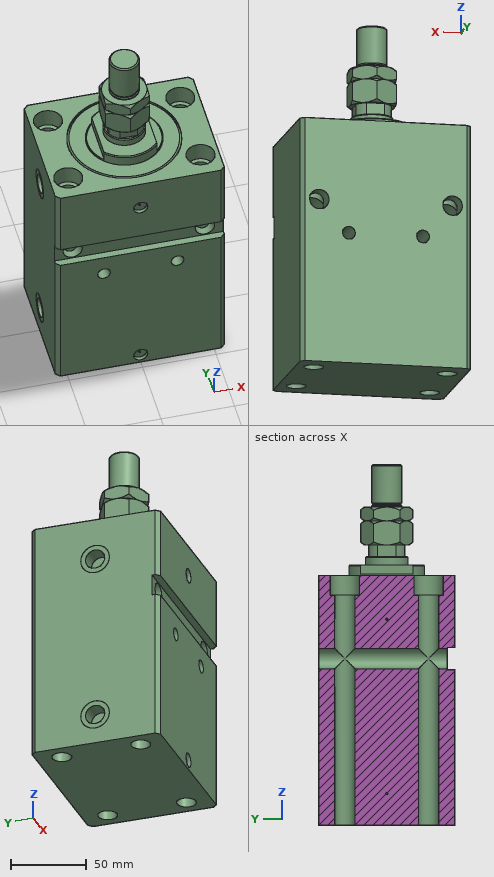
import cadquery as cq
import math


block_width = 115.0
block_depth = 90.0
block_height = 165.0
corner_chamfer = 2.9

slot_depth = 5.0
slot_height = 14.5
slot_drop = 55.0
slot_z = block_height - slot_drop

bolt_diameter = 13.0
bolt_x = 45.0
bolt_y = 27.5
head_diameter = 19.0
head_depth = 13.0
dowel_diameter = 8.5
dowel_x = 25.0
dowel_z = block_height - 76.9

front_port_diameter = 9.5
front_port_depth = 2.5
front_port_heights = (7.0, block_height - 21.7)
side_port_diameter = 13.3
side_port_depth = 12.0
side_port_heights = (21.0, block_height - 29.0)
spotface_diameter = 20.0
spotface_depth = 0.12
passage_diameter = 1.2
passage_depth = 1.2

gland_diameter = 76.0
gland_height = 15.0
gland_chamfer = 1.5
gland_mouth_chamfer = 0.7
gland_mouth_angle = 90
gland_floor_z = block_height - gland_height

rod_diameter = 50.0
rod_shoulder = 0.7
rod_head_height = 7.0
rod_flats = 36.0
rod_chamfer = 0.7
rod_top_z = block_height + rod_head_height

collar_diameter = 28.3
collar_height = 5.5
collar_chamfer = 0.7
neck_diameter = collar_diameter - 2 * collar_chamfer
neck_flats = 24.0
neck_height = 7.5
hex_flats = 30.0
hex_chamfer_angle = 40
lower_hex_height = 16.0
upper_hex_height = 9.0
pin_diameter = 20.0
pin_chamfer = 1.0
relief_diameter = 18.5
relief_rim_height = 0.7
relief_height = 2.1
total_height = 238.0


def front_holes(diameter, depth, places):
    """Cylinders going in along +Y from the front face at the (x, z) places."""
    plane = cq.Workplane("XZ", origin=(0, -block_depth / 2, 0))
    return plane.pushPoints(places).circle(diameter / 2).extrude(-depth)


def side_holes(diameter, depth, heights):
    """Cylinders going in along +X from the left face at the given heights."""
    plane = cq.Workplane("YZ", origin=(-block_width / 2, 0, 0))
    return plane.pushPoints([(0, z) for z in heights]).circle(diameter / 2).extrude(depth)


def make_housing():
    block = (
        cq.Workplane("XY")
        .box(block_width, block_depth, block_height, centered=(True, True, False))
        .edges("|Z")
        .chamfer(corner_chamfer)
    )

    slot_floor_y = -block_depth / 2 + slot_depth
    slot = cq.Workplane("XY").box(block_width, 2 * slot_depth, slot_height)
    block = block.cut(slot.translate((0, slot_floor_y - slot_depth, slot_z)))

    block = (
        block.faces(">Z")
        .workplane(origin=(0, 0, block_height))
        .rect(2 * bolt_x, 2 * bolt_y, forConstruction=True)
        .vertices()
        .cboreHole(bolt_diameter, head_diameter, head_depth)
    )

    cross_bolt_places = [(side * bolt_x, slot_z) for side in (-1, 1)]
    dowel_places = [(side * dowel_x, dowel_z) for side in (-1, 1)]
    block = block.cut(front_holes(bolt_diameter, block_depth, cross_bolt_places))
    block = block.cut(front_holes(dowel_diameter, block_depth, dowel_places))

    front_places = [(0, z) for z in front_port_heights]
    block = block.cut(front_holes(front_port_diameter, front_port_depth, front_places))
    block = block.cut(front_holes(passage_diameter, front_port_depth + passage_depth, front_places))

    block = block.cut(side_holes(spotface_diameter, spotface_depth, side_port_heights))
    block = block.cut(side_holes(side_port_diameter, side_port_depth, side_port_heights))
    block = block.cut(side_holes(passage_diameter, side_port_depth + passage_depth, side_port_heights))

    bore = cq.Workplane("XY", origin=(0, 0, gland_floor_z)).circle(gland_diameter / 2).extrude(gland_height)
    return block.cut(bore)


def make_gland():
    body = (
        cq.Workplane("XY", origin=(0, 0, gland_floor_z))
        .circle(gland_diameter / 2)
        .extrude(gland_height)
        .faces(">Z")
        .chamfer(gland_chamfer)
    )
    mouth_diameter = rod_diameter + 2 * gland_mouth_chamfer
    return body.faces(">Z").workplane().cskHole(rod_diameter, mouth_diameter, gland_mouth_angle)


def make_rod():
    rod = (
        cq.Workplane("XY", origin=(0, 0, gland_floor_z))
        .circle(rod_diameter / 2)
        .extrude(gland_height + rod_head_height)
        .faces(">Z")
        .chamfer(rod_chamfer)
    )
    shoulder_z = block_height + rod_shoulder
    head_space = cq.Workplane("XY", origin=(0, 0, shoulder_z)).circle(rod_diameter).extrude(rod_head_height)
    between_flats = (
        cq.Workplane("XY", origin=(0, 0, shoulder_z))
        .rect(rod_flats, 2 * rod_diameter)
        .extrude(rod_head_height)
    )
    return rod.cut(head_space.cut(between_flats))


def chamfered_hex(bottom_z, height):
    """Hexagon with corners along Y, both ends turned conical down to the across-flats circle."""
    corner_radius = hex_flats / math.sqrt(3)
    flat_radius = hex_flats / 2
    cone_height = (corner_radius - flat_radius) * math.tan(math.radians(hex_chamfer_angle))
    hexagon = cq.Workplane("XY").polygon(6, 2 * corner_radius).extrude(height).rotate((0, 0, 0), (0, 0, 1), 90)
    turned = (
        cq.Workplane("XZ")
        .moveTo(0, 0)
        .lineTo(flat_radius, 0)
        .lineTo(corner_radius, cone_height)
        .lineTo(corner_radius, height - cone_height)
        .lineTo(flat_radius, height)
        .lineTo(0, height)
        .close()
        .revolve()
    )
    return hexagon.intersect(turned).translate((0, 0, bottom_z))


def make_coupling():
    neck_z = rod_top_z + collar_height
    lower_hex_z = neck_z + neck_height
    upper_hex_z = lower_hex_z + lower_hex_height
    pin_z = upper_hex_z + upper_hex_height

    collar = (
        cq.Workplane("XY", origin=(0, 0, rod_top_z))
        .circle(collar_diameter / 2)
        .extrude(collar_height)
        .faces(">Z")
        .chamfer(collar_chamfer)
    )

    neck_plane = cq.Workplane("XY", origin=(0, 0, neck_z))
    neck_square = neck_plane.rect(neck_flats, neck_flats).extrude(neck_height)
    neck = neck_plane.circle(neck_diameter / 2).extrude(neck_height).intersect(neck_square)

    relief_step = (pin_diameter - relief_diameter) / 2
    relief_z = pin_z + relief_rim_height
    relief_top_z = relief_z + relief_height
    pin = (
        cq.Workplane("XZ")
        .moveTo(0, pin_z)
        .lineTo(pin_diameter / 2, pin_z)
        .lineTo(pin_diameter / 2, relief_z)
        .lineTo(relief_diameter / 2, relief_z + relief_step)
        .lineTo(relief_diameter / 2, relief_top_z - relief_step)
        .lineTo(pin_diameter / 2, relief_top_z)
        .lineTo(pin_diameter / 2, total_height - pin_chamfer)
        .lineTo(pin_diameter / 2 - pin_chamfer, total_height)
        .lineTo(0, total_height)
        .close()
        .revolve()
    )

    lower_hex = chamfered_hex(lower_hex_z, lower_hex_height)
    upper_hex = chamfered_hex(upper_hex_z, upper_hex_height)
    return collar.union(neck).union(lower_hex).union(upper_hex).union(pin)


housing = make_housing()
gland = make_gland()
rod = make_rod()
coupling = make_coupling()

bodies = [housing, gland, rod, coupling]
result = cq.Compound.makeCompound([body.solids().val() for body in bodies])